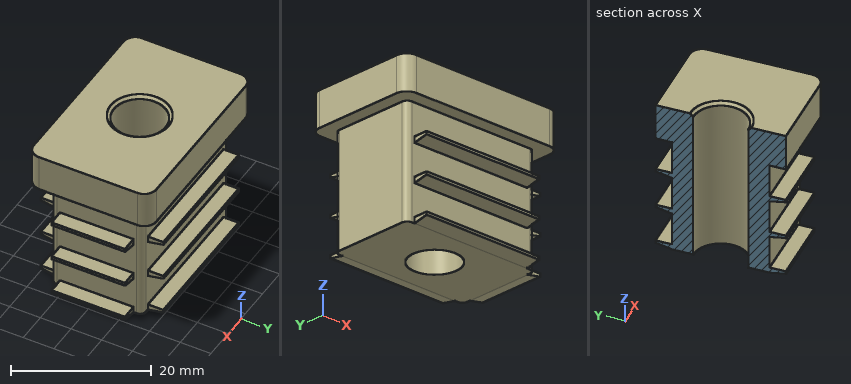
import cadquery as cq

CAP_LENGTH = 30.0
CAP_WIDTH = 20.0
CAP_HEIGHT = 6.0
CAP_CORNER_RADIUS = 2.0

TOTAL_HEIGHT = 25.0
BODY_HEIGHT = TOTAL_HEIGHT - CAP_HEIGHT
BODY_LENGTH = 25.0
BODY_WIDTH = 15.0
BODY_CORNER_RADIUS = 1.0

HOLE_DIAMETER = 8.38
HOLE_CHAMFER = 0.5

FIN_COUNT = 3
FIN_PITCH = BODY_HEIGHT / FIN_COUNT
FIN_ROOT_HEIGHT = 1.0
FIN_TIP_HEIGHT = 0.5
FIN_REACH = (CAP_WIDTH - BODY_WIDTH) / 2
FIN_END_GAP = 1.5
FIN_EMBED = 0.5


def rounded_block(length, width, height, radius, bottom):
    """Block centred on the Z axis with rounded vertical edges."""
    block = cq.Workplane("XY").workplane(offset=bottom).rect(length, width).extrude(height)
    return block.edges("|Z").fillet(radius)


def fin(face_distance, face_width, bottom, angle):
    """One tapered fin, built on the +X side and turned about Z to its own face."""
    tip = face_distance + FIN_REACH
    root = face_distance - FIN_EMBED
    top = bottom + FIN_ROOT_HEIGHT
    outline = [
        (root, bottom),
        (face_distance, bottom),
        (tip, top - FIN_TIP_HEIGHT),
        (tip, top),
        (root, top),
    ]
    fin_length = face_width - 2 * FIN_END_GAP
    blade = cq.Workplane("XZ").polyline(outline).close().extrude(fin_length / 2, both=True)
    return blade.rotate((0, 0, 0), (0, 0, 1), angle)


def add_fins(body):
    """Rows of fins on the +X, +Y and -Y faces; the -X face stays plain."""
    for row in range(FIN_COUNT):
        bottom = row * FIN_PITCH
        body = body.union(fin(BODY_LENGTH / 2, BODY_WIDTH, bottom, 0))
        body = body.union(fin(BODY_WIDTH / 2, BODY_LENGTH, bottom, 90))
        body = body.union(fin(BODY_WIDTH / 2, BODY_LENGTH, bottom, -90))
    return body


def cut_hole(body):
    """Through hole along Z, chamfered at the top of the cap."""
    bore = cq.Workplane("XY").circle(HOLE_DIAMETER / 2).extrude(TOTAL_HEIGHT)
    mouth_radius = HOLE_DIAMETER / 2 + HOLE_CHAMFER
    mouth = (
        cq.Workplane("XY")
        .workplane(offset=TOTAL_HEIGHT)
        .circle(mouth_radius)
        .workplane(offset=-HOLE_CHAMFER)
        .circle(HOLE_DIAMETER / 2)
        .loft(ruled=True)
    )
    return body.cut(bore).cut(mouth)


cap = rounded_block(CAP_LENGTH, CAP_WIDTH, CAP_HEIGHT, CAP_CORNER_RADIUS, BODY_HEIGHT)
plug = rounded_block(BODY_LENGTH, BODY_WIDTH, BODY_HEIGHT, BODY_CORNER_RADIUS, 0)
result = cut_hole(add_fins(plug.union(cap)))